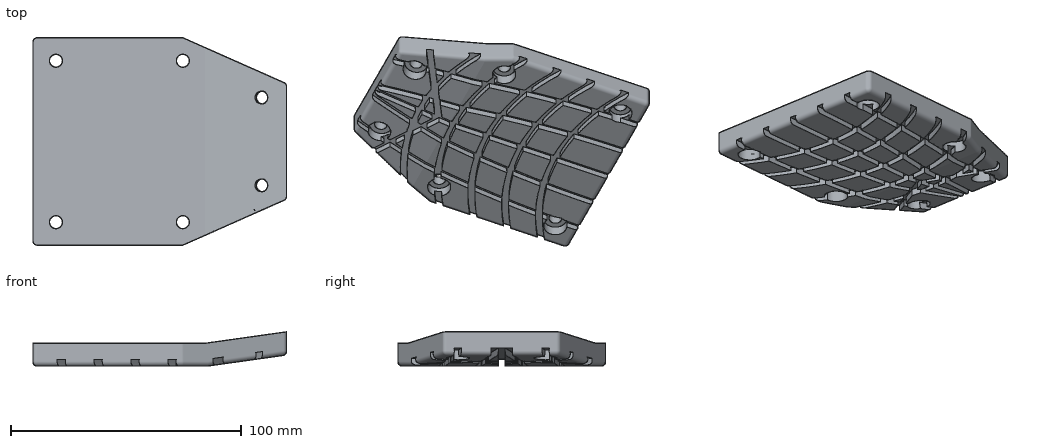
import cadquery as cq
import math

length = 110.0
width = 90.0
height = 15.0
thickness = 10.0
edge_radius = 2.0

taper_start_x = 65.0
tail_end_width = 50.0

top_fold_x = 74.8
tail_slope = (height - thickness) / (length - top_fold_x)
tail_angle = math.atan(tail_slope)
fold_shift = math.tan(tail_angle / 2)
underside_fold_x = top_fold_x + thickness * fold_shift

hole_diameter = 5.5
recess_diameter = 10.0
screw_seat_depth = 5.0
plate_hole_xs = (10.0, 65.0)
plate_hole_y = 35.0
tail_hole_x = 99.0
tail_hole_y = 19.0

groove_width = 3.0
groove_depth = 3.0
groove_pitch = 16.0
lengthwise_radius = 473.0
cross_radius = 83.6
cross_count = 5
first_cross_side_x = 12.3
tail_groove_side_x = 98.1
tail_groove_angle = 60.0
overrun = 11.0


def depth_line(depth, start_x, end_x):
    """Points of a bent line lying the given depth below the top surface."""
    fold_x = top_fold_x + depth * fold_shift
    level = thickness - depth
    return [(start_x, level), (fold_x, level), (end_x, level + (end_x - fold_x) * tail_slope)]


def bent_layer(upper_depth, lower_depth, start_x, end_x):
    """Full-width layer between two depths, following the bend."""
    upper = depth_line(upper_depth, start_x, end_x)
    lower = depth_line(lower_depth, start_x, end_x)
    return cq.Workplane("XZ").polyline(upper + lower[::-1]).close().extrude(width / 2, both=True)


def plan_outline():
    """Upright block with the plan shape of the plate."""
    half_width = width / 2
    half_end = tail_end_width / 2
    corners = [
        (0, -half_width),
        (taper_start_x, -half_width),
        (length, -half_end),
        (length, half_end),
        (taper_start_x, half_width),
        (0, half_width),
    ]
    return cq.Workplane("XY").polyline(corners).close().extrude(height)


def depth_below_top(point):
    return thickness + max(0, point.x - top_fold_x) * tail_slope - point.z


def is_rounded(edge):
    """True for the upright corners and the underside rim, but not for the top rim or the fold."""
    middle = edge.Center()
    on_underside_fold = abs(middle.x - underside_fold_x) < 0.1 and abs(middle.y) < 0.1
    return depth_below_top(middle) > thickness / 4 and not on_underside_fold


def make_plate():
    sharp_plate = bent_layer(0, thickness, 0, length).intersect(plan_outline())
    return sharp_plate.edges().filter(is_rounded).fillet(edge_radius)


def groove_ring(center_x, center_y, radius):
    """Upright wall of groove width along a circle; only the arc inside the plate matters."""
    outer = cq.Workplane("XY").center(center_x, center_y).circle(radius + groove_width / 2)
    return outer.circle(radius - groove_width / 2).extrude(height)


def groove_strip(start_x, start_y, run, angle):
    """Upright straight wall of groove width leaving a start point at an angle to X."""
    strip = cq.Workplane("XY").box(run, groove_width, height, centered=(False, True, False))
    return strip.rotate((0, 0, 0), (0, 0, 1), angle).translate((start_x, start_y, 0))


def lengthwise_grooves():
    """A straight middle groove and, on each side, two arcs that start along X and bend inward."""
    grooves = [groove_strip(-overrun, 0, length + 2 * overrun, 0)]
    for side in (-1, 1):
        for step in (1, 2):
            center_y = side * (step * groove_pitch - lengthwise_radius)
            grooves.append(groove_ring(0, center_y, lengthwise_radius))
    return grooves


def cross_grooves():
    """Equal arcs from side to side, stepped along X and bulging toward the tail."""
    center_drop = math.sqrt(cross_radius**2 - (width / 2) ** 2)
    first_center_x = first_cross_side_x - center_drop
    return [
        groove_ring(first_center_x + step * groove_pitch, 0, cross_radius)
        for step in range(cross_count)
    ]


def tail_grooves():
    """Two straight grooves that meet on the middle line and leave through the tapered sides."""
    taper = (width - tail_end_width) / 2 / (length - taper_start_x)
    side_y = width / 2 - (tail_groove_side_x - taper_start_x) * taper
    run = side_y / math.sin(math.radians(tail_groove_angle))
    apex_x = tail_groove_side_x - run * math.cos(math.radians(tail_groove_angle))
    return [
        groove_strip(apex_x, 0, run + overrun, side * tail_groove_angle)
        for side in (-1, 1)
    ]


def cut_tread(plate):
    tread_layer = bent_layer(thickness - groove_depth, thickness + overrun, -overrun, length + overrun)
    for groove in lengthwise_grooves() + cross_grooves() + tail_grooves():
        plate = plate.cut(groove.intersect(tread_layer))
    return plate


def screw_cutters(points):
    """Through holes with head recesses below, drilled down from the XY plane."""
    shafts = (
        cq.Workplane("XY")
        .pushPoints(points)
        .circle(hole_diameter / 2)
        .extrude(thickness + overrun, both=True)
    )
    recesses = (
        cq.Workplane("XY", origin=(0, 0, -screw_seat_depth))
        .pushPoints(points)
        .circle(recess_diameter / 2)
        .extrude(-(thickness + overrun))
    )
    return shafts.union(recesses)


def drill_holes(plate):
    plate_points = [(x, side * plate_hole_y) for x in plate_hole_xs for side in (-1, 1)]
    plate_cutters = screw_cutters(plate_points).translate((0, 0, thickness))
    tail_surface_z = thickness + (tail_hole_x - top_fold_x) * tail_slope
    tail_cutters = (
        screw_cutters([(0, -tail_hole_y), (0, tail_hole_y)])
        .rotate((0, 0, 0), (0, 1, 0), -math.degrees(tail_angle))
        .translate((tail_hole_x, 0, tail_surface_z))
    )
    return plate.cut(plate_cutters).cut(tail_cutters)


result = drill_holes(cut_tread(make_plate()))